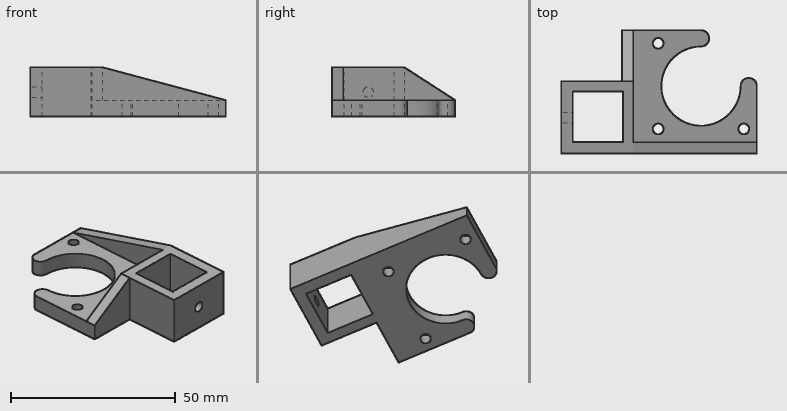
import cadquery as cq
import math

sleeve_size = 22.0
sleeve_height = 15.0
bore_size = 15.2
bore_start = 3.6

length = 59.5
width = 37.5
plate_thickness = 5.0
seat_radius = 12.0
arm_width = 5.0
tip_radius = arm_width / 2
seat_x = length - arm_width - seat_radius
seat_y = width - arm_width - seat_radius
tip_distance = seat_radius + tip_radius

hole_diameter = 3.2
hole_offset = 13.0
hole_signs = [(-1, -1), (1, -1), (-1, 1)]

rib_width = 3.5
plate_left = sleeve_size - rib_width


def make_sleeve():
    """Square tube, still without its bore."""
    return cq.Workplane("XY").box(sleeve_size, sleeve_size, sleeve_height, centered=False)


def make_plate():
    """Plate whose free corner opens into the seat between two round-tipped arms."""
    diagonal = seat_radius * math.sin(math.radians(45))
    return (
        cq.Workplane("XY")
        .moveTo(plate_left, 0)
        .lineTo(length, 0)
        .lineTo(length, seat_y)
        .threePointArc((length - tip_radius, seat_y + tip_radius), (length - arm_width, seat_y))
        .threePointArc((seat_x + diagonal, seat_y - diagonal), (seat_x, seat_y - seat_radius))
        .threePointArc((seat_x - diagonal, seat_y + diagonal), (seat_x, seat_y + seat_radius))
        .threePointArc((seat_x + tip_radius, seat_y + tip_distance), (seat_x, width))
        .lineTo(plate_left, width)
        .close()
        .extrude(plate_thickness)
    )


def rib_profile(base_plane, far_end):
    """Rib side face: sleeve height at the sleeve, plate thickness at the far end."""
    return base_plane.polyline(
        [(sleeve_size, 0), (far_end, 0), (far_end, plate_thickness), (sleeve_size, sleeve_height)]
    ).close()


def make_front_rib():
    """Wedge along the front edge of the plate."""
    return rib_profile(cq.Workplane("XZ"), length).extrude(-rib_width)


def make_side_rib():
    """Wedge along the left edge of the plate."""
    side_plane = cq.Workplane("YZ", origin=(plate_left, 0, 0))
    return rib_profile(side_plane, width).extrude(rib_width)


def make_bore():
    """Square opening through the full height of the sleeve."""
    return (
        cq.Workplane("XY", origin=(bore_start, bore_start, 0))
        .box(bore_size, bore_size, sleeve_height, centered=False)
    )


def make_screw_holes():
    """Three plate holes on a square pattern around the seat."""
    points = [
        (seat_x + side_x * hole_offset, seat_y + side_y * hole_offset)
        for side_x, side_y in hole_signs
    ]
    return cq.Workplane("XY").pushPoints(points).circle(hole_diameter / 2).extrude(plate_thickness)


def make_clamp_hole():
    """Clamping screw hole through the left wall of the sleeve, at its middle."""
    return (
        cq.Workplane("YZ")
        .center(sleeve_size / 2, sleeve_height / 2)
        .circle(hole_diameter / 2)
        .extrude(bore_start)
    )


solid_body = make_sleeve().union(make_plate()).union(make_front_rib()).union(make_side_rib())
result = solid_body.cut(make_bore()).cut(make_screw_holes()).cut(make_clamp_hole())